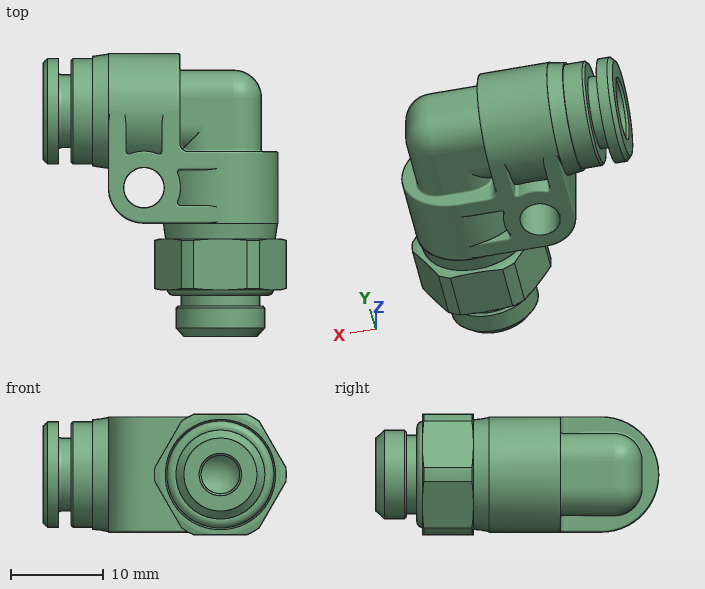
import cadquery as cq
import math


overall_x = 26.2
overall_y = 30.5

sleeve_radius = 6.22
sleeve_outer = 12.08
sleeve_inner = 4.35
edge_round = 0.2
plate_inner_corner_round = 0.9
neck_end = 13.75
neck_radius_start = 6.15
neck_radius_end = 5.92

mount_offset = 8.25
mount_radius = 2.17
plate_corner_round = sleeve_outer - mount_offset

pocket_half_width = 1.92
pocket_boss_radius = 3.93
pocket_corner_round = 0.3
pocket_depth = 2.75

knee_half = 4.42
knee_round = 3.0

flange_radius = 5.7
flange_thickness = 1.68
flange_chamfer = 0.5
port_groove_radius = 3.93
port_groove_cone_radius = 4.03
port_groove_cone = 0.3
collar_start = 16.1
collar_chamfer = 0.25

hex_across_flats = 13.0
hex_corner_radius = 7.1
hex_end = 19.25
hex_chamfer = 0.15
stud_groove_radius = 4.25
thread_radius = 4.8
thread_start = 20.95
thread_start_chamfer = 0.25
thread_tip_radius = 3.93
thread_tip_chamfer = 0.95

port_face = overall_x - hex_corner_radius
stud_face = overall_y - sleeve_radius

tube_radius = 3.15
tube_mouth_radius = 3.42
tube_mouth_chamfer = 0.27
tube_stop = sleeve_inner
passage_radius = 2.45
passage_mouth_radius = 2.78
stud_bore_radius = 2.07
stud_mouth_chamfer = 0.2

ring_section_radius = 0.75
ring_center_radius = stud_groove_radius + ring_section_radius
ring_protrusion = 0.6
ring_position = hex_end + ring_protrusion - ring_section_radius
recess_depth = 2 * ring_section_radius - ring_protrusion
recess_mouth_radius = 5.95
recess_floor_radius = 5.58


def turned(profile):
    """Revolve (distance, radius) points about the axis of the tube port, towards -X."""
    outline = [(-distance, radius) for distance, radius in profile]
    return cq.Workplane("XY").polyline(outline).close().revolve(360, (0, 0, 0), (1, 0, 0))


def swap_axes(shape):
    """Mirror a shape in the diagonal plane x = y, so that the X leg becomes the Y leg."""
    return shape.rotate((0, 0, 0), (0, 0, 1), 90).mirror("YZ")


def sleeve():
    length = sleeve_outer - sleeve_inner
    barrel = cq.Workplane("YZ", origin=(-sleeve_outer, 0, 0)).circle(sleeve_radius).extrude(length)
    barrel = barrel.faces(">X").edges().fillet(edge_round)
    neck = turned([
        (sleeve_outer, 0),
        (neck_end, 0),
        (neck_end, neck_radius_end),
        (sleeve_outer, neck_radius_start),
    ])
    return barrel.union(neck)


def rib_pocket():
    """Pocket in the upper plate face, open to the sleeve and ended by the round boss."""
    left = -mount_offset - pocket_half_width
    right = -mount_offset + pocket_half_width
    boss_top = -mount_offset + pocket_boss_radius
    corner_y = -mount_offset + math.sqrt(pocket_boss_radius**2 - pocket_half_width**2)
    return (
        cq.Workplane("XY", origin=(0, 0, sleeve_radius))
        .sketch()
        .segment((left, 0), (left, corner_y))
        .arc((left, corner_y), (-mount_offset, boss_top), (right, corner_y))
        .segment((right, corner_y), (right, 0))
        .close()
        .assemble()
        .vertices("<Y")
        .fillet(pocket_corner_round)
        .finalize()
        .extrude(-pocket_depth)
    )


def plate():
    slab = (
        cq.Workplane("XY", origin=(0, 0, -sleeve_radius))
        .moveTo(-sleeve_outer, 0)
        .lineTo(-sleeve_outer, -sleeve_outer)
        .lineTo(0, -sleeve_outer)
        .lineTo(0, -sleeve_inner)
        .lineTo(-sleeve_inner, -sleeve_inner)
        .lineTo(-sleeve_inner, 0)
        .close()
        .extrude(2 * sleeve_radius)
    )
    outer_corner = cq.selectors.NearestToPointSelector((-sleeve_outer, -sleeve_outer, 0))
    slab = slab.edges("|Z").edges(outer_corner).fillet(plate_corner_round)
    inner_corner = cq.selectors.NearestToPointSelector((-sleeve_inner, -sleeve_inner, 0))
    slab = slab.edges("|Z").edges(inner_corner).fillet(plate_inner_corner_round)
    for pocket in (rib_pocket(), swap_axes(rib_pocket())):
        slab = slab.cut(pocket).cut(pocket.mirror("XY"))
    rims = slab.faces(">Z or <Z").edges("not(>X or >Y)")
    return rims.fillet(edge_round)


def knee_leg():
    length = sleeve_inner + knee_half + edge_round
    return (
        cq.Workplane("XY")
        .box(length, 2 * knee_half, 2 * knee_half)
        .translate((knee_half - length / 2, 0, 0))
        .edges("not(<X)")
        .fillet(knee_round)
    )


def elbow_housing():
    """Plate, sleeves and knee, with a small fillet where the knee meets the rest."""
    knee = knee_leg().union(swap_axes(knee_leg()))
    housing = plate().union(sleeve()).union(swap_axes(sleeve())).union(knee)
    margin = 0.03
    low = -sleeve_inner - margin
    reach = -sleeve_inner + plate_inner_corner_round + margin
    high = knee_half + margin
    x_joint = cq.selectors.BoxSelector((low, low, -high), (reach, high, high), boundingbox=True)
    y_joint = cq.selectors.BoxSelector((low, low, -high), (high, reach, high), boundingbox=True)
    return housing.edges(x_joint + y_joint).fillet(edge_round)


def tube_port():
    flange_back = port_face - flange_thickness
    return turned([
        (neck_end, 0),
        (neck_end, flange_radius),
        (collar_start - collar_chamfer, flange_radius),
        (collar_start, flange_radius - collar_chamfer),
        (collar_start, port_groove_radius),
        (flange_back - port_groove_cone, port_groove_radius),
        (flange_back, port_groove_cone_radius),
        (flange_back, flange_radius),
        (port_face - flange_chamfer, flange_radius),
        (port_face, flange_radius - flange_chamfer),
        (port_face, 0),
    ])


def hexagon():
    across_corners = hex_across_flats / math.cos(math.pi / 6)
    prism = (
        cq.Workplane("XZ", origin=(0, -neck_end, 0))
        .polygon(6, across_corners)
        .extrude(hex_end - neck_end)
    )
    face_radius = hex_across_flats / 2
    rounding = swap_axes(turned([
        (neck_end, 0),
        (neck_end, face_radius),
        (neck_end + hex_chamfer, hex_corner_radius),
        (hex_end - hex_chamfer, hex_corner_radius),
        (hex_end, face_radius),
        (hex_end, 0),
    ]))
    recess = swap_axes(turned([
        (hex_end - recess_depth, 0),
        (hex_end - recess_depth, recess_floor_radius),
        (hex_end, recess_mouth_radius),
        (hex_end, 0),
    ]))
    return prism.intersect(rounding).cut(recess)


def threaded_stud():
    return swap_axes(turned([
        (hex_end - recess_depth, 0),
        (hex_end - recess_depth, stud_groove_radius),
        (thread_start, stud_groove_radius),
        (thread_start, thread_radius - thread_start_chamfer),
        (thread_start + thread_start_chamfer, thread_radius),
        (stud_face - thread_tip_chamfer, thread_radius),
        (stud_face, thread_tip_radius),
        (stud_face, 0),
    ]))


def passages():
    """Tube bore and stud bore, meeting in a ball at the crossing of the axes."""
    tube_bore = turned([
        (0, 0),
        (0, passage_radius),
        (tube_stop - passage_mouth_radius + passage_radius, passage_radius),
        (tube_stop, passage_mouth_radius),
        (tube_stop, tube_radius),
        (port_face - tube_mouth_chamfer, tube_radius),
        (port_face, tube_mouth_radius),
        (port_face, 0),
    ])
    stud_bore = swap_axes(turned([
        (0, 0),
        (0, passage_radius),
        (neck_end, passage_radius),
        (neck_end, stud_bore_radius),
        (stud_face - stud_mouth_chamfer, stud_bore_radius),
        (stud_face, stud_bore_radius + stud_mouth_chamfer),
        (stud_face, 0),
    ]))
    ball = cq.Workplane("XY").sphere(passage_radius)
    return tube_bore.union(stud_bore).union(ball)


def make_fitting():
    body = elbow_housing().union(tube_port()).union(hexagon()).union(threaded_stud())
    mount_hole = (
        cq.Workplane("XY", origin=(-mount_offset, -mount_offset, 0))
        .circle(mount_radius)
        .extrude(sleeve_radius, both=True)
    )
    return body.cut(mount_hole).cut(passages())


def make_seal_ring():
    return (
        cq.Workplane("XY")
        .center(ring_center_radius, -ring_position)
        .circle(ring_section_radius)
        .revolve(360, (-ring_center_radius, 0, 0), (-ring_center_radius, 1, 0))
    )


fitting = make_fitting()
seal_ring = make_seal_ring()

result = cq.Compound.makeCompound([fitting.val(), seal_ring.val()])